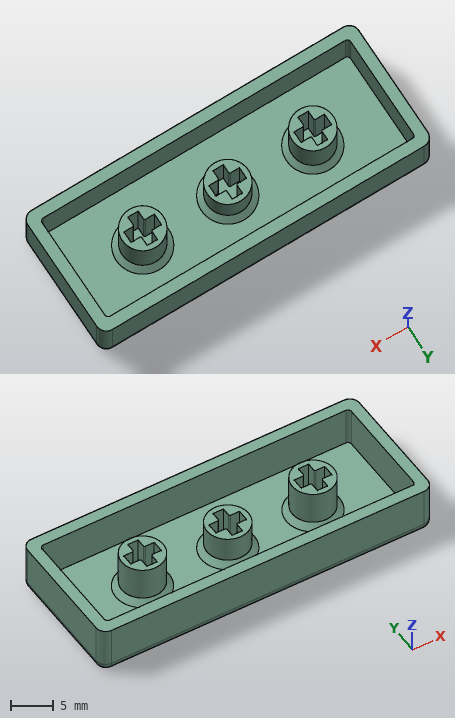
import cadquery as cq

length = 46.6
width = 18.05
height = 6.9
wall = 1.6
floor_thickness = 1.4
outer_radius = 1.35
inner_radius = 0.45

stem_count = 3
stem_pitch = 12.0
stem_diameter = 5.8
middle_stem_top = 5.75
outer_stem_top = height
collar_diameter = 7.4
collar_height = (collar_diameter - stem_diameter) / 2

cross_span = 4.3
arm_width_x = 1.6
arm_width_y = 1.45
cross_corner_radius = 0.2


def make_tray():
    body = cq.Workplane("XY").box(length, width, height, centered=(True, True, False))
    body = body.edges("|Z").fillet(outer_radius)
    body = body.faces("<Z").edges().fillet(outer_radius)
    cavity = (
        cq.Workplane("XY", origin=(0, 0, floor_thickness))
        .rect(length - 2 * wall, width - 2 * wall)
        .extrude(height - floor_thickness)
        .edges("|Z")
        .fillet(inner_radius)
    )
    return body.cut(cavity)


def make_stem(x, stem_top):
    """Revolved post that starts at the underside of its conical collar."""
    stem_radius = stem_diameter / 2
    collar_radius = collar_diameter / 2
    stem_height = stem_top - floor_thickness
    return (
        cq.Workplane("XZ", origin=(x, 0, floor_thickness))
        .lineTo(collar_radius, 0)
        .lineTo(stem_radius, collar_height)
        .lineTo(stem_radius, stem_height)
        .lineTo(0, stem_height)
        .close()
        .revolve(360, (0, 0), (0, 1))
    )


def make_socket(x, stem_top):
    base = cq.Workplane("XY", origin=(x, 0, floor_thickness))
    depth = stem_top - floor_thickness
    arm_along_x = base.rect(cross_span, arm_width_x).extrude(depth)
    arm_along_y = base.rect(arm_width_y, cross_span).extrude(depth)
    half_core = cross_span / 4
    core = cq.selectors.BoxSelector(
        (x - half_core, -half_core, floor_thickness),
        (x + half_core, half_core, stem_top),
    )
    cross = arm_along_x.union(arm_along_y)
    return cross.edges("|Z").edges(core).fillet(cross_corner_radius)


result = make_tray()
middle_index = (stem_count - 1) / 2
for index in range(stem_count):
    stem_x = (index - middle_index) * stem_pitch
    top = middle_stem_top if index == middle_index else outer_stem_top
    result = result.union(make_stem(stem_x, top)).cut(make_socket(stem_x, top))